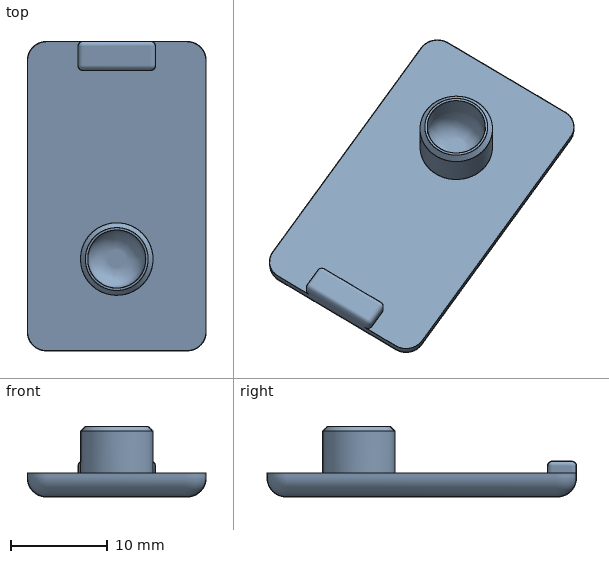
import cadquery as cq

plate_width = 18.5
plate_length = 32.0
plate_thickness = 2.5
plate_rounding = 2.0

total_height = 7.3
cup_outer_diameter = 7.5
cup_bore_diameter = 6.0
cup_center_y = -6.5
cup_rim_chamfer = 0.5
cup_floor_rounding = 2.0
cup_floor_z = plate_thickness

tab_width = 8.0
tab_depth = 3.0
tab_height = 1.2
tab_rounding = 0.5


def make_plate():
    plate = cq.Workplane("XY").box(
        plate_width, plate_length, plate_thickness, centered=(True, True, False)
    )
    plate = plate.edges("|Z").fillet(plate_rounding)
    return plate.faces("<Z").edges().fillet(plate_rounding)


def make_cup_body():
    cup_height = total_height - plate_thickness
    cup = (
        cq.Workplane("XY", origin=(0, cup_center_y, plate_thickness))
        .circle(cup_outer_diameter / 2)
        .extrude(cup_height)
    )
    return cup.faces(">Z").edges().chamfer(cup_rim_chamfer)


def make_cup_bore():
    bore = (
        cq.Workplane("XY", origin=(0, cup_center_y, cup_floor_z))
        .circle(cup_bore_diameter / 2)
        .extrude(total_height - cup_floor_z)
    )
    return bore.faces("<Z").edges().fillet(cup_floor_rounding)


def make_tab():
    tab_center_y = (plate_length - tab_depth) / 2
    tab = cq.Workplane("XY", origin=(0, tab_center_y, plate_thickness)).box(
        tab_width, tab_depth, tab_height, centered=(True, True, False)
    )
    return tab.edges("|Z or >Z").fillet(tab_rounding)


result = make_plate().union(make_cup_body()).union(make_tab()).cut(make_cup_bore())